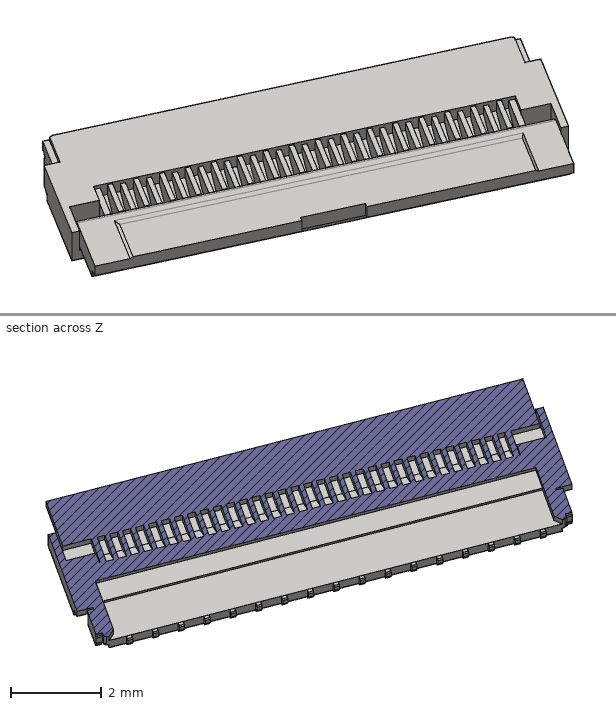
import cadquery as cq


total_height = 0.90
ear_half_width = 5.75
body_half_width = 5.38

ear_front = 0.84
ear_rear = 3.00
foot_rear = 3.27
foot_step_x = 3.17
foot_step_z = 0.15
foot_bottom_x = 3.11
corner_relief_x = 0.04
corner_relief_y = 0.06
lower_edge_z = 0.10
lower_edge_rise = 0.08
lower_edge_inset = 0.12
ear_notch_rear = 1.06
ear_notch_low_z = 0.18
ear_notch_high_z = 0.26

mouth_half_width = 5.26
mouth_floor = 0.29
mouth_step_x = 1.00
mouth_step_rise = 0.07
mouth_roof = 0.81
throat_half_width = 5.11
throat_roof = 0.64
mouth_lead_in = 0.15
mouth_depth = 1.50

pocket_front = 2.22
pocket_half_width = 5.57
pocket_floor = 0.285
comb_front = 1.77
comb_half_width = 4.88
comb_ramp_top = 0.55

pitch = 0.60
tail_count = 17
tail_width = 0.12
tail_reach = 0.10
tail_top = 0.285
tail_side_bottom = 0.13
tail_tip_inset = 0.06
tail_top_bevel = 0.03
low_beam_width = 0.12
low_beam_top = 0.80
low_beam_rear = 2.60
high_beam_width = 0.12
high_beam_top = 0.86
high_beam_rear = 2.64
end_beam_width = 0.15

lever_half_width = 5.54
lever_front = 2.60
lever_rear = 4.10
lever_top = 0.86
lever_nose_radius = 0.11
lever_step_x = 3.86
lever_step_z = 0.46
lever_lip_z = 0.56
panel_front = 2.88
panel_front_slope = 0.18
panel_half_width = 4.73
panel_side_slope = 0.07
lever_notch_half_width = 0.75
lever_notch_depth = 0.10

nail_thickness = 0.15
nail_top = 0.78
nail_leg_rear = 0.735
nail_leg_shoulder = 0.40
nail_hook_z = 0.50
nail_flare_z = 0.47
nail_hook_peak_x = 0.07
nail_hook_peak_z = 0.51
nail_hook_back_top = 0.44
nail_hook_back_bottom = 0.36
nail_shank_front = 0.11
nail_shank_top = 0.34
nail_shank_bottom = 0.12
nail_foot_front = 0.14
nail_foot_top = 0.10


def block(x0, x1, y0, y1, z0, z1):
    """Axis-aligned box between two corners."""
    return cq.Workplane("XY").box(x1 - x0, y1 - y0, z1 - z0, centered=False).translate((x0, y0, z0))


def wide_block(x0, x1, half_width, z0, z1):
    """Box centred across the contact row."""
    return block(x0, x1, -half_width, half_width, z0, z1)


def side_profile(points, y0, y1):
    """Outline in X and Z, extruded from y0 to y1."""
    return cq.Workplane("XZ", origin=(0, y0, 0)).polyline(points).close().extrude(y0 - y1)


def on_both_ends(shape):
    """The shape together with its mirror image at the other end of the row."""
    return shape.union(shape.mirror("XZ"))


def rectangle_at(x, half_width, z0, z1):
    """Closed wire across the mouth at a given depth."""
    corners = [(-half_width, z0), (half_width, z0), (half_width, z1), (-half_width, z1)]
    return cq.Wire.makePolygon([cq.Vector(x, y, z) for y, z in corners], close=True)


def make_housing():
    """Solid housing with an ear at each end of the row."""
    base_outline = [
        (0, 0),
        (foot_bottom_x, 0),
        (foot_step_x, foot_step_z),
        (foot_rear, foot_step_z),
        (foot_rear, pocket_floor),
        (ear_rear, pocket_floor),
        (ear_rear, total_height),
        (0, total_height),
    ]
    body = side_profile(base_outline, -body_half_width, body_half_width)

    corner = (
        cq.Workplane("XY")
        .polyline([
            (0, body_half_width),
            (corner_relief_x, body_half_width),
            (0, body_half_width - corner_relief_y),
        ])
        .close()
        .extrude(total_height - ear_notch_low_z)
        .translate((0, 0, ear_notch_low_z))
    )
    body = body.cut(on_both_ends(corner))

    inset_y = body_half_width - lower_edge_inset
    lower_edge = (
        cq.Workplane("YZ")
        .polyline([
            (inset_y, 0),
            (inset_y, lower_edge_z),
            (body_half_width, lower_edge_z + lower_edge_rise),
            (body_half_width, 0),
        ])
        .close()
        .extrude(ear_notch_rear)
    )
    body = body.cut(on_both_ends(lower_edge))

    ear_outline = [
        (ear_front, ear_notch_high_z),
        (ear_notch_rear, ear_notch_low_z),
        (ear_notch_rear, 0),
        (ear_rear, 0),
        (ear_rear, total_height),
        (ear_front, total_height),
    ]
    ear = side_profile(ear_outline, body_half_width, ear_half_width)
    return body.union(on_both_ends(ear))


def make_mouth():
    """Cable mouth with a stepped floor and a lead-in on its roof and ends."""
    lead_in = cq.Solid.makeLoft(
        [
            rectangle_at(0, mouth_half_width, mouth_floor, mouth_roof),
            rectangle_at(mouth_lead_in, throat_half_width, mouth_floor, throat_roof),
        ],
        True,
    )
    throat_outline = [
        (mouth_lead_in, mouth_floor),
        (mouth_step_x, mouth_floor),
        (mouth_step_x, mouth_floor + mouth_step_rise),
        (mouth_depth, mouth_floor + mouth_step_rise),
        (mouth_depth, throat_roof),
        (mouth_lead_in, throat_roof),
    ]
    throat = side_profile(throat_outline, -throat_half_width, throat_half_width)
    return throat.union(cq.Workplane(obj=lead_in))


def make_top_openings():
    """Lever pocket and the comb opening ahead of it, with a ramped comb floor."""
    pocket = wide_block(pocket_front, ear_rear, pocket_half_width, pocket_floor, total_height)
    comb_outline = [
        (comb_front, comb_ramp_top),
        (pocket_front, pocket_floor),
        (pocket_front, total_height),
        (comb_front, total_height),
    ]
    return pocket.union(side_profile(comb_outline, -comb_half_width, comb_half_width))


def make_beam(y, width, rear, top):
    """Contact beam standing in the comb opening, rooted in the housing floor."""
    root_z = pocket_floor / 2
    outline = [
        (comb_front, comb_ramp_top),
        (pocket_front, root_z),
        (rear, root_z),
        (rear, top),
        (comb_front, top),
    ]
    return side_profile(outline, y - width / 2, y + width / 2)


def make_tail(y):
    """Solder tail projecting from the front face under the mouth."""
    outline = [
        (0, 0),
        (tail_tip_inset - tail_reach, 0),
        (-tail_reach, tail_side_bottom),
        (-tail_reach, tail_top - tail_top_bevel),
        (tail_top_bevel - tail_reach, tail_top),
        (0, tail_top),
    ]
    return side_profile(outline, y - tail_width / 2, y + tail_width / 2)


def add_contacts(part):
    """Part with its tails and low beams, and a high beam between each pair of low ones."""
    first_y = -pitch * (tail_count - 1) / 2
    for index in range(tail_count):
        y = first_y + index * pitch
        is_end = index in (0, tail_count - 1)
        width = end_beam_width if is_end else low_beam_width
        part = part.union(make_tail(y))
        part = part.union(make_beam(y, width, low_beam_rear, low_beam_top))
        if index < tail_count - 1:
            part = part.union(make_beam(y + pitch / 2, high_beam_width, high_beam_rear, high_beam_top))
    return part


def make_lever():
    """Closed locking lever lying on the pocket floor and overhanging the rear."""
    outline = [
        (lever_front, pocket_floor),
        (lever_step_x, pocket_floor),
        (lever_step_x, lever_step_z),
        (lever_rear, lever_lip_z),
        (lever_rear, lever_top),
        (lever_front, lever_top),
    ]
    lever = side_profile(outline, -lever_half_width, lever_half_width)
    lever = lever.edges("|Y").edges("<X").edges(">Z").fillet(lever_nose_radius)

    rise = total_height - lever_top
    panel = wide_block(panel_front, lever_rear, panel_half_width, lever_top, total_height)
    front_bevel = side_profile(
        [
            (panel_front, lever_top),
            (panel_front + panel_front_slope, total_height),
            (panel_front, total_height),
        ],
        -panel_half_width,
        panel_half_width,
    )
    side_bevel = (
        cq.Workplane("YZ", origin=(panel_front, 0, lever_top))
        .polyline([
            (panel_half_width, 0),
            (panel_half_width, rise),
            (panel_half_width - panel_side_slope, rise),
        ])
        .close()
        .extrude(lever_rear - panel_front)
    )
    lever = lever.union(panel.cut(front_bevel).cut(on_both_ends(side_bevel)))

    notch_front = lever_rear - lever_notch_depth
    return lever.cut(wide_block(notch_front, lever_rear, lever_notch_half_width, 0, total_height))


def make_nails():
    """Flat retention nails against both housing sides, notched at the front edge."""
    outline = [
        (0, nail_top),
        (0, nail_hook_z),
        (nail_hook_peak_x, nail_hook_peak_z),
        (nail_foot_front, nail_hook_back_top),
        (nail_foot_front, nail_hook_back_bottom),
        (nail_shank_front, nail_shank_top),
        (nail_shank_front, nail_shank_bottom),
        (nail_foot_front, nail_foot_top),
        (nail_foot_front, 0),
        (nail_leg_rear, 0),
        (nail_leg_rear, nail_leg_shoulder),
        (ear_front, nail_flare_z),
        (ear_front, nail_top),
    ]
    nail = side_profile(outline, body_half_width, body_half_width + nail_thickness)
    return on_both_ends(nail)


housing = make_housing().cut(make_mouth()).cut(make_top_openings())
result = add_contacts(housing).union(make_lever()).union(make_nails())